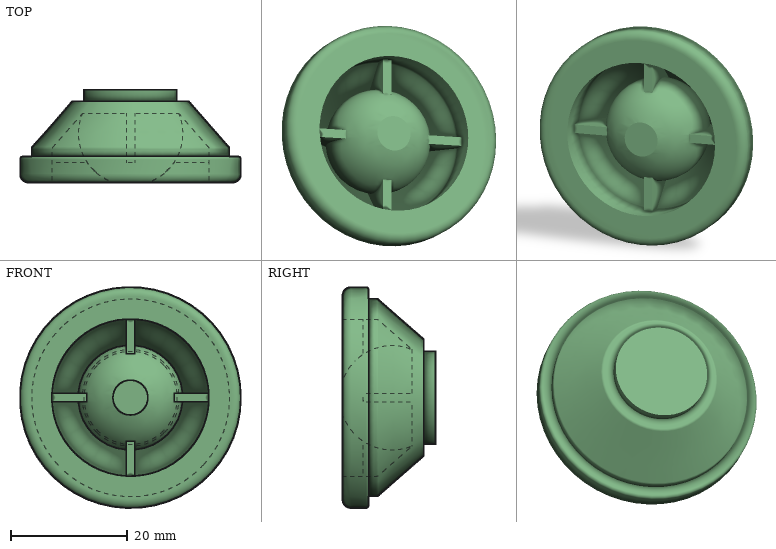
import cadquery as cq
import math


flange_radius = 19.0
flange_thickness = 4.5
front_edge_fillet = 1.5
back_edge_fillet = 0.5

collar_radius = 17.0
collar_end = 6.0
cone_small_radius = 10.0
cone_end = 14.0
cone_edge_fillet = 0.5
stub_radius = 8.0
overall_depth = 16.0

wall_thickness = 3.5
bore_radius = collar_radius - wall_thickness
bore_depth = collar_end
bore_edge_fillet = 0.5
cavity_depth = 13.0
cone_slope = (collar_radius - cone_small_radius) / (cone_end - collar_end)
cavity_end_radius = bore_radius - cone_slope * (cavity_depth - bore_depth)

dome_radius = 9.0
dome_flat_radius = 3.0
dome_center_y = math.sqrt(dome_radius**2 - dome_flat_radius**2)

rib_count = 4
rib_width = 1.5
rib_inner_radius = 7.5
rib_front_y = dome_center_y - math.sqrt(dome_radius**2 - rib_inner_radius**2)
rib_back_y = 12.0
rib_outer_radius = bore_radius + wall_thickness / 2
rib_back_outer_radius = rib_outer_radius - cone_slope * (rib_back_y - bore_depth)

edge_tolerance = 0.1


def disc(radius, start_y, end_y):
    """Cylinder along +Y between two depths."""
    plane = cq.Workplane("XZ", origin=(0, start_y, 0))
    return plane.circle(radius).extrude(start_y - end_y)


def turned(profile):
    """Solid of revolution about Y from (radius, y) points."""
    outline = cq.Workplane("XY").polyline(profile).close()
    return outline.revolve(360, (0, 0, 0), (0, 1, 0))


def round_edge(solid, edge_y, radius):
    """Fillet the circular edge centred on the axis at the given depth."""
    region = cq.selectors.BoxSelector(
        (-edge_tolerance, edge_y - edge_tolerance, -edge_tolerance),
        (edge_tolerance, edge_y + edge_tolerance, edge_tolerance),
    )
    return solid.edges(region).fillet(radius)


def make_flange():
    flange = disc(flange_radius, 0, flange_thickness)
    flange = round_edge(flange, 0, front_edge_fillet)
    return round_edge(flange, flange_thickness, back_edge_fillet)


def make_cone():
    """Straight collar followed by the tapering outer cone."""
    cone = turned([
        (0, 0),
        (collar_radius, 0),
        (collar_radius, collar_end),
        (cone_small_radius, cone_end),
        (0, cone_end),
    ])
    cone = round_edge(cone, collar_end, cone_edge_fillet)
    return round_edge(cone, cone_end, cone_edge_fillet)


def make_cavity():
    cavity = turned([
        (0, 0),
        (bore_radius, 0),
        (bore_radius, bore_depth),
        (cavity_end_radius, cavity_depth),
        (0, cavity_depth),
    ])
    return round_edge(cavity, bore_depth, bore_edge_fillet)


def make_dome():
    """The dome is wide enough at the back to fill the narrow end of the cavity."""
    sphere = cq.Workplane("XY").sphere(dome_radius).translate((0, dome_center_y, 0))
    return sphere.intersect(disc(flange_radius, 0, cone_end))


def make_rib(angle):
    """Rib along +X, sunk into the dome and into the cavity wall, then turned about Y."""
    outline = [
        (rib_inner_radius, rib_front_y),
        (rib_outer_radius, rib_front_y),
        (rib_outer_radius, bore_depth),
        (rib_back_outer_radius, rib_back_y),
        (rib_inner_radius, rib_back_y),
    ]
    rib = cq.Workplane("XY").polyline(outline).close().extrude(rib_width / 2, both=True)
    return rib.rotate((0, 0, 0), (0, 1, 0), angle)


result = make_flange().union(make_cone())
result = result.union(disc(stub_radius, cone_end, overall_depth))
result = result.cut(make_cavity())
result = result.union(make_dome())
for index in range(rib_count):
    result = result.union(make_rib(index * 360 / rib_count))